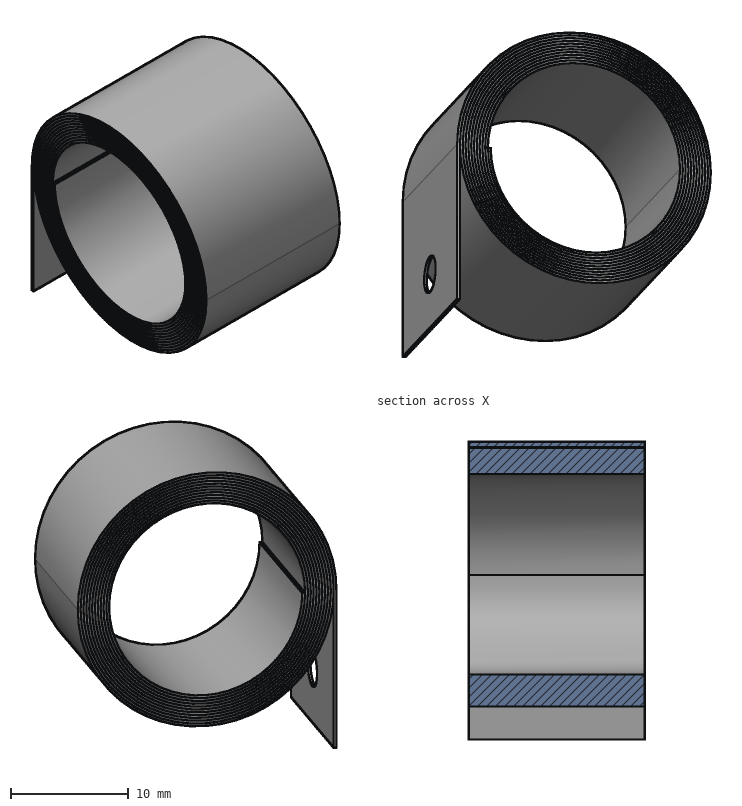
import cadquery as cq

strip_width = 15.0
strip_thickness = 0.248
winding_gap = 0.003
turn_count = 11
coil_diameter = 22.65
overall_height = 25.32
hole_diameter = 3.2
hole_edge_distance = 4.84

pitch = strip_thickness + winding_gap
outer_radius = coil_diameter / 2
tail_length = overall_height - outer_radius
inner_end_x = -outer_radius + turn_count * pitch
right_inner_x = outer_radius - strip_thickness - (turn_count - 1) * pitch


def half_turn(profile, start_x, end_x, side):
    """Add a semicircle between two points on the X axis; side is +1 above it, -1 below."""
    middle_x = (start_x + end_x) / 2
    radius = abs(end_x - start_x) / 2
    return profile.threePointArc((middle_x, side * radius), (end_x, 0))


profile = cq.Workplane("XZ", origin=(0, strip_width / 2, 0)).moveTo(inner_end_x + strip_thickness, 0)
for turn in range(turn_count):
    left_x = inner_end_x + strip_thickness - turn * pitch
    right_x = right_inner_x + turn * pitch
    profile = half_turn(profile, left_x, right_x, -1)
    profile = half_turn(profile, right_x, left_x - pitch, 1)

profile = profile.lineTo(-outer_radius + strip_thickness, -tail_length)
profile = profile.lineTo(-outer_radius, -tail_length)
profile = profile.lineTo(-outer_radius, 0)

for turn in reversed(range(turn_count)):
    left_x = inner_end_x - turn * pitch
    right_x = right_inner_x + strip_thickness + turn * pitch
    profile = half_turn(profile, left_x - pitch, right_x, 1)
    profile = half_turn(profile, right_x, left_x, -1)

strip = profile.close().extrude(strip_width)

hole = (
    cq.Workplane("YZ", origin=(-outer_radius - strip_thickness, 0, 0))
    .center(0, hole_edge_distance - tail_length)
    .circle(hole_diameter / 2)
    .extrude(3 * strip_thickness)
)

result = strip.cut(hole)